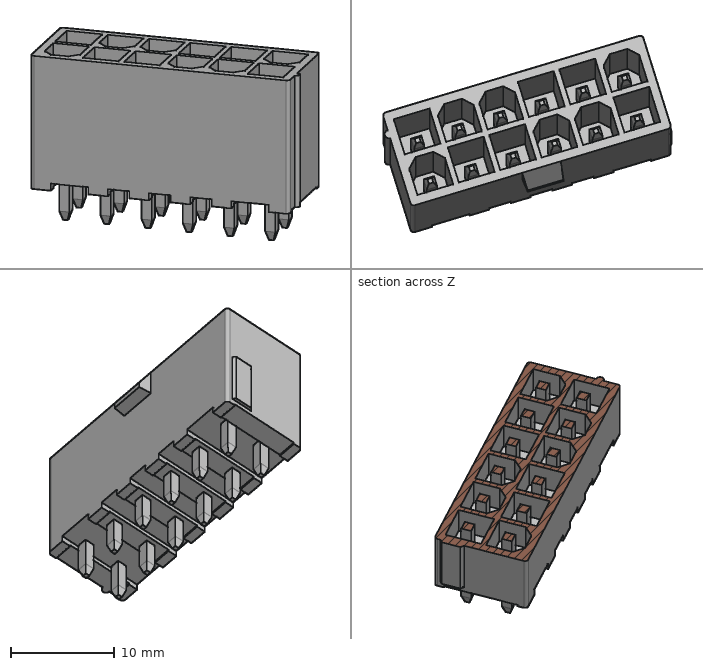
import cadquery as cq

body_x = 26.4
body_y = 9.62
body_z = 13.55
corner_radius = 0.35

pitch = 4.2
columns = 6
rows = 2
column_x = [(i - (columns - 1) / 2) * pitch for i in range(columns)]
row_y = [(j - (rows - 1) / 2) * pitch for j in range(rows)]

cavity_width = 3.63
cavity_depth = 10.03
key_chamfer = 0.92
keyed_columns = [(0, 3, 4), (1, 2, 5)]

pin_width = 1.05
pin_tip_width = 0.45
pin_tip_length = 0.98
pin_offset_y = 0.2
pin_bottom = -3.7
pin_top = 10.03

notch_height = 0.73
foot_width = 2.0
end_foot_width = 2.1
recess_width = 7.6
recess_height = 0.15

latch_reach = 1.38
latch_base_width = 3.93
latch_outer_width = 3.63
latch_height = 3.04
latch_ramp_height = 2.35

rib_reach = 0.3
rib_chamfer_y = 0.27
rib_width = 2.47
rib_inset = 0.65
rib_bottom = 0.73
rib_top = 6.78

round_rib_radius = 0.4
round_rib_inset = 2.17


def make_box(x0, x1, y0, y1, z0, z1):
    return cq.Workplane("XY").box(x1 - x0, y1 - y0, z1 - z0, centered=False).translate((x0, y0, z0))


def make_housing():
    block = cq.Workplane("XY").box(body_x, body_y, body_z, centered=(True, True, False))
    return block.edges("|Z").fillet(corner_radius)


def make_cavity(x, y, keyed):
    half = cavity_width / 2
    floor = body_z - cavity_depth
    cavity = make_box(x - half, x + half, y - half, y + half, floor, body_z)
    if keyed:
        cavity = cavity.faces("<Y").edges("|Z").chamfer(key_chamfer)
    return cavity


def make_pin(x, y):
    def tip(z_base, direction):
        wide = cq.Workplane("XY", origin=(x, y, z_base)).rect(pin_width, pin_width)
        narrow = wide.workplane(offset=direction * pin_tip_length).rect(pin_tip_width, pin_tip_width)
        return narrow.loft(ruled=True)

    shank_bottom = pin_bottom + pin_tip_length
    shank_top = pin_top - pin_tip_length
    half = pin_width / 2
    shank = make_box(x - half, x + half, y - half, y + half, shank_bottom, shank_top)
    return shank.union(tip(shank_bottom, -1)).union(tip(shank_top, 1))


def cut_underside(housing):
    feet_x = column_x[1:-1]
    starts = [-body_x / 2 + end_foot_width] + [x + foot_width / 2 for x in feet_x]
    ends = [x - foot_width / 2 for x in feet_x] + [body_x / 2 - end_foot_width]
    for start, end in zip(starts, ends):
        housing = housing.cut(make_box(start, end, -body_y / 2, body_y / 2, 0, notch_height))
    half = recess_width / 2
    return housing.cut(make_box(-body_x / 2, body_x / 2, -half, half, 0, recess_height))


def make_latch():
    face_y = body_y / 2
    outer_y = face_y + latch_reach
    side_profile = [
        (face_y, body_z),
        (outer_y, body_z - latch_ramp_height),
        (outer_y, body_z - latch_height),
        (face_y, body_z - latch_height),
    ]
    ramp = cq.Workplane("YZ").polyline(side_profile).close().extrude(latch_base_width / 2, both=True)
    plan = [
        (-latch_base_width / 2, face_y),
        (latch_base_width / 2, face_y),
        (latch_outer_width / 2, outer_y),
        (-latch_outer_width / 2, outer_y),
    ]
    return ramp.intersect(cq.Workplane("XY").polyline(plan).close().extrude(body_z))


def make_side_rib():
    face_x = -body_x / 2
    outer_x = face_x - rib_reach
    back_y = body_y / 2 - rib_inset
    front_y = back_y - rib_width
    plan = [
        (face_x, back_y),
        (outer_x, back_y - rib_chamfer_y),
        (outer_x, front_y + rib_chamfer_y),
        (face_x, front_y),
    ]
    rib = cq.Workplane("XY", origin=(0, 0, rib_bottom)).polyline(plan).close()
    return rib.extrude(rib_top - rib_bottom)


def make_round_rib():
    axis = (body_x / 2, -body_y / 2 + round_rib_inset, recess_height)
    return cq.Workplane("XY", origin=axis).circle(round_rib_radius).extrude(body_z - recess_height)


housing = cut_underside(make_housing())
housing = housing.union(make_latch()).union(make_side_rib()).union(make_round_rib())

for y, keyed in zip(row_y, keyed_columns):
    for column, x in enumerate(column_x):
        housing = housing.cut(make_cavity(x, y, column in keyed))
        housing = housing.union(make_pin(x, y + pin_offset_y))

result = housing